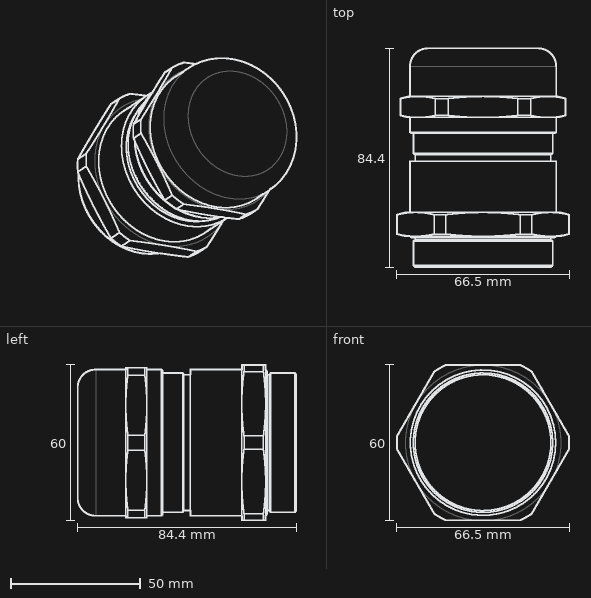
import cadquery as cq
import math


thread_end = 10.0
lower_hex_start = 11.9
lower_hex_end = 21.1
body_end = 40.9
upper_thread_start = 43.9
cap_start = 51.6
upper_hex_start = 57.7
upper_hex_end = 65.8
overall_length = 84.42

thread_diameter = 53.8
groove_diameter = 52.4
body_diameter = 56.5
cap_diameter = 56.5

lower_hex_flats = 60.0
lower_hex_corners = 66.5
upper_hex_flats = 57.9
upper_hex_corners = 63.8
hex_chamfer_angle = math.radians(15)

thread_chamfer = 0.7
groove_run_out = 0.5
cap_chamfer = 0.5
dome_radius = 7.0

seal_outer_diameter = 56.2
seal_wire_radius = 0.9
seal_sink = 0.35


def revolve_about_y(profile):
    return profile.close().revolve(360, (0, 0, 0), (0, 1, 0))


def turned_body():
    """Both threads, their run-out grooves and the plain barrel."""
    thread_radius = thread_diameter / 2
    groove_radius = groove_diameter / 2
    body_radius = body_diameter / 2
    profile = (
        cq.Workplane("XY")
        .moveTo(0, 0)
        .lineTo(thread_radius - thread_chamfer, 0)
        .lineTo(thread_radius, thread_chamfer)
        .lineTo(thread_radius, thread_end)
        .lineTo(groove_radius, thread_end + groove_run_out)
        .lineTo(groove_radius, lower_hex_start)
        .lineTo(body_radius, lower_hex_start)
        .lineTo(body_radius, body_end)
        .lineTo(groove_radius, body_end)
        .lineTo(groove_radius, upper_thread_start - groove_run_out)
        .lineTo(thread_radius, upper_thread_start)
        .lineTo(thread_radius, cap_start)
        .lineTo(0, cap_start)
    )
    return revolve_about_y(profile)


def domed_cap():
    """Cap nut with a chamfered rim and a rounded far end."""
    cap_radius = cap_diameter / 2
    profile = (
        cq.Workplane("XY")
        .moveTo(0, cap_start)
        .lineTo(cap_radius - cap_chamfer, cap_start)
        .lineTo(cap_radius, cap_start + cap_chamfer)
        .lineTo(cap_radius, overall_length - dome_radius)
        .radiusArc((cap_radius - dome_radius, overall_length), -dome_radius)
        .lineTo(0, overall_length)
    )
    return revolve_about_y(profile)


def hexagon(start, end, flats, corners):
    """Hexagon with flats facing +Z and -Z, rounded corners and both faces chamfered."""
    flat_radius = flats / 2
    corner_radius = corners / 2
    chamfer_depth = (corner_radius - flat_radius) * math.tan(hex_chamfer_angle)
    prism = (
        cq.Workplane("XZ", origin=(0, start, 0))
        .polygon(6, flats / math.cos(math.pi / 6))
        .extrude(start - end)
    )
    envelope = (
        cq.Workplane("XY")
        .moveTo(0, start)
        .lineTo(flat_radius, start)
        .lineTo(corner_radius, start + chamfer_depth)
        .lineTo(corner_radius, end - chamfer_depth)
        .lineTo(flat_radius, end)
        .lineTo(0, end)
    )
    return prism.intersect(revolve_about_y(envelope))


def sealing_ring():
    """Round ring standing slightly proud of the lower hexagon."""
    ring_radius = seal_outer_diameter / 2 - seal_wire_radius
    return (
        cq.Workplane("XY")
        .center(ring_radius, lower_hex_start + seal_sink)
        .circle(seal_wire_radius)
        .revolve(360, (-ring_radius, 0, 0), (-ring_radius, 1, 0))
    )


result = (
    turned_body()
    .union(domed_cap())
    .union(hexagon(lower_hex_start, lower_hex_end, lower_hex_flats, lower_hex_corners))
    .union(hexagon(upper_hex_start, upper_hex_end, upper_hex_flats, upper_hex_corners))
    .union(sealing_ring())
)